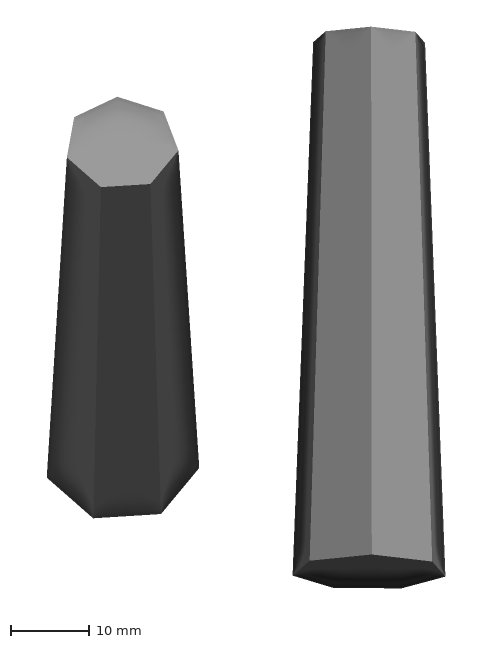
import cadquery as cq

side_count = 7
height = 70.0
base_diameter = 20.1
top_diameter = 14.7
first_corner_angle = -8.5

post = (
    cq.Workplane("XY")
    .polygon(side_count, base_diameter)
    .workplane(offset=height)
    .polygon(side_count, top_diameter)
    .loft(ruled=True)
)
result = post.rotate((0, 0, 0), (0, 0, 1), first_corner_angle)